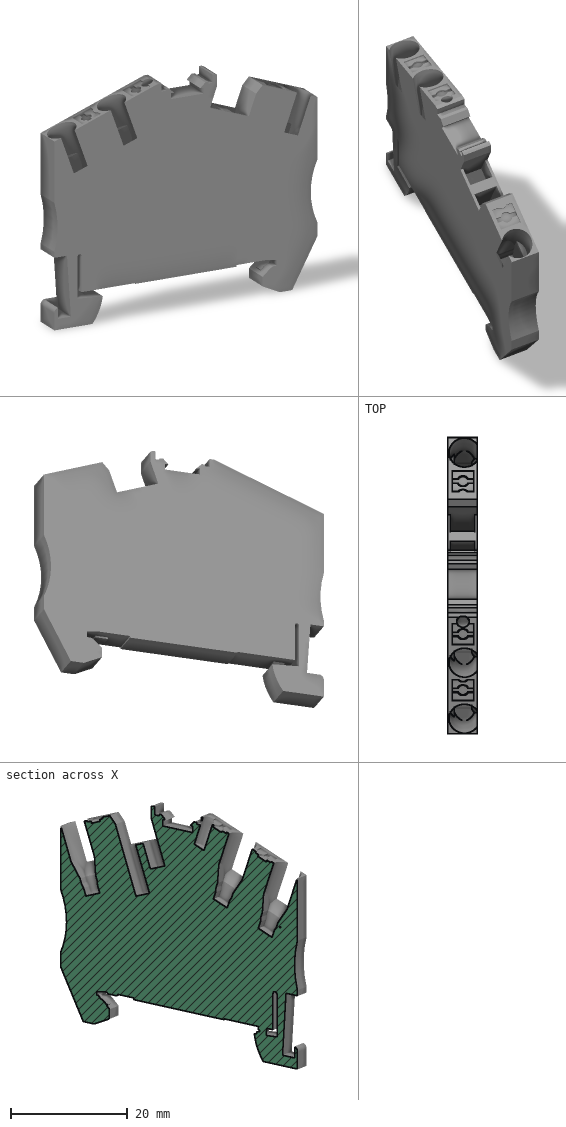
import cadquery as cq
import math

width = 5.15
length = 50.8
height = 41.5
end_y = length / 2

roof_angle = 20.0
roof_rise = math.tan(math.radians(roof_angle))
shoulder_z = 34.25

groove_y = 0.25
groove_half = 4.95
groove_ledge_z = 40.05
groove_floor_z = 38.35
groove_floor_half = 3.15
lip_half = 4.05
lip_top_half = 3.5
lip_tip_half = 2.55
lip_top_z = 40.35
lip_under_z = 39.4
finger_outer_y = 6.05
finger_bend_z = 39.4
finger_bevel_y = 5.65
finger_bevel_z = 41.35

notch_peak_y = 14.85
notch_chamfer_y = 13.55
notch_bottom_y = 12.15
notch_bottom_z = 32.8
notch_inner_y = 4.65
notch_pocket_width = 4.15
deep_pocket_end = 3.0
deep_pocket_depth = 8.65
shallow_pocket_start = 4.8
shallow_pocket_depth = 4.55

front_recess_top_z = 23.1
front_recess_middle = (-24.8, 18.7)
front_recess_bottom_z = 14.2
back_recess_top_z = 22.9
back_recess_middle = (24.15, 17.2)
back_recess_bottom_z = 11.55

base_z = 6.1
base_step_up = 0.15
base_step_y = 9.75
foot_slot_y = -20.15
foot_slot_width = 0.75
foot_slot_top = 13.0
arm_top_z = 13.15
arm_top_y = -22.95
arm_bottom_y = -22.35
foot_ledge_z = 4.0
foot_round_radius = 0.9
foot_round_length = 0.65
foot_round_height = 0.85
foot_pry_wall = 0.5
foot_pry_depth = 2.05
foot_tip_y = -16.05
foot_tip_z = 4.7
foot_heel_z = 5.05
foot_nose_middle = (-16.85, 1.95)
foot_sole_y = -18.05
hook_root_y = 17.6
hook_root_z = 4.95
hook_throat = [(16.75, 4.9), (16.25, 4.55)]
hook_tip_y = 14.85
hook_tip_top_z = 3.3
hook_tip_bottom_z = 1.6
hook_sole_start_y = 18.15
hook_sole_end_y = 20.5
hook_back_z = 9.0
base_hollow_y = 15.35

contact_width = 1.5
contact_root_z = base_z + 1

feature_x = 0.075
terminal_width = 3.7
terminal_height = 3.75
terminal_depth = 0.25
band_height = 0.8
band_down = 0.1
band_circle_diameter = 1.9
band_depth = 0.6
boss_radius = 1.05
boss_up = 2.6
test_hole_radius = 1.05
test_hole_up = 2.25
test_hole_depth = 5.6
lower_terminal_y = 17.95
station_pitch = 9.6
wire_hole_down = 5.2
wire_hole_radius = 2.65
wire_hole_x = 0.33
wire_hole_depth = 6.3
funnel_depth = 9.6
clamp_width = 3.05
clamp_height = 3.45
clamp_depth = 10.5
throat_height = 3.05
throat_start_depth = 11.35
throat_depth = 12.7
cutter_overshoot = 1.5


def prism(outline, thickness):
    """Extrude a closed YZ wire symmetrically about X = 0."""
    return outline.close().extrude(thickness / 2, both=True)


def groove_side(side):
    """Points of one groove flank from the outer edge down to the floor (side is +1 or -1)."""
    flank = [
        (groove_half, height),
        (groove_half, groove_ledge_z),
        (lip_half, groove_ledge_z),
        (lip_half, lip_top_z),
        (lip_top_half, lip_top_z),
        (lip_tip_half, lip_under_z),
        (groove_floor_half, lip_under_z),
        (groove_floor_half, groove_floor_z),
    ]
    return [(groove_y + side * half, z) for half, z in flank]


def housing():
    """Side outline of the plastic body, extruded across the full width."""
    notch_peak_z = shoulder_z + (end_y - notch_peak_y) * roof_rise
    notch_chamfer_z = notch_bottom_z + (notch_chamfer_y - notch_bottom_y) / roof_rise
    notch_inner_z = notch_bottom_z + (notch_bottom_y - notch_inner_y) * roof_rise
    ridge_y = -end_y + (height - shoulder_z) / roof_rise
    slot_radius = foot_slot_width / 2
    slot_far_y = foot_slot_y - foot_slot_width
    outline = (
        cq.Workplane("YZ")
        .moveTo(end_y, shoulder_z)
        .lineTo(notch_peak_y, notch_peak_z)
        .lineTo(notch_chamfer_y, notch_chamfer_z)
        .lineTo(notch_bottom_y, notch_bottom_z)
        .lineTo(notch_inner_y, notch_inner_z)
        .lineTo(finger_outer_y, finger_bend_z)
        .lineTo(finger_outer_y, finger_bevel_z)
        .lineTo(finger_bevel_y, height)
    )
    for y, z in groove_side(1) + groove_side(-1)[::-1]:
        outline = outline.lineTo(y, z)
    outline = (
        outline.lineTo(ridge_y, height)
        .lineTo(-end_y, shoulder_z)
        .lineTo(-end_y, front_recess_top_z)
        .threePointArc(front_recess_middle, (-end_y, front_recess_bottom_z))
        .lineTo(-end_y, arm_top_z)
        .lineTo(arm_top_y, arm_top_z)
        .lineTo(arm_bottom_y, foot_ledge_z)
        .lineTo(-end_y + foot_round_length, foot_ledge_z)
        .radiusArc((-end_y, foot_ledge_z - foot_round_height), -foot_round_radius)
        .lineTo(-end_y, 0)
        .lineTo(foot_sole_y, 0)
        .threePointArc(foot_nose_middle, (foot_tip_y, foot_tip_z))
        .lineTo(slot_far_y, foot_heel_z)
        .lineTo(slot_far_y, foot_slot_top - slot_radius)
        .threePointArc(
            (foot_slot_y - slot_radius, foot_slot_top),
            (foot_slot_y, foot_slot_top - slot_radius),
        )
        .lineTo(foot_slot_y, base_z)
        .lineTo(-base_step_y, base_z)
        .lineTo(-base_step_y, base_z - base_step_up)
        .lineTo(base_step_y, base_z - base_step_up)
        .lineTo(base_step_y, base_z + base_step_up)
        .lineTo(base_hollow_y, base_z + base_step_up)
        .lineTo(hook_root_y, base_z - base_step_up)
        .lineTo(hook_root_y, hook_root_z)
        .lineTo(*hook_throat[0])
        .lineTo(*hook_throat[1])
        .lineTo(hook_tip_y, hook_tip_top_z)
        .lineTo(hook_tip_y, hook_tip_bottom_z)
        .lineTo(hook_sole_start_y, 0)
        .lineTo(hook_sole_end_y, 0)
        .lineTo(end_y, hook_back_z)
        .lineTo(end_y, back_recess_bottom_z)
        .threePointArc(back_recess_middle, (end_y, back_recess_top_z))
    )
    return prism(outline, width)


def foot_pry_slot():
    """Screwdriver slot in the foot ledge, open on the +X side; one wall continues the arm face."""
    arm_lean = (arm_bottom_y - arm_top_y) / (arm_top_z - foot_ledge_z)
    far_y = -end_y + foot_round_length
    bottom_z = foot_ledge_z - foot_pry_depth
    profile = (
        cq.Workplane("YZ", origin=(-width / 2 + foot_pry_wall, 0, 0))
        .moveTo(arm_bottom_y, foot_ledge_z)
        .lineTo(arm_bottom_y + arm_lean * foot_pry_depth, bottom_z)
        .lineTo(far_y, bottom_z)
        .lineTo(far_y, foot_ledge_z)
    )
    return profile.close().extrude(width)


def contact():
    """Parts of the metal contact that reach out of the housing underside."""
    strip = [(15.45, contact_root_z), (15.45, 5.95), (13.15, 5.95), (12.95, contact_root_z)]
    leg = [
        (-16.9, contact_root_z), (-16.9, 5.65), (-17.25, 5.35), (-16.6, 5.15),
        (-16.6, 4.55), (-18.7, 4.55), (-18.7, 5.5), (-18.85, 5.8), (-18.85, contact_root_z),
    ]
    claw = [
        (18.1, 5.4), (17.25, 5.4), (16.8, 4.95), (15.9, 4.45),
        (15.6, 4.1), (15.25, 4.05), (15.45, 3.7), (18.1, 3.7),
    ]
    pieces = cq.Workplane("YZ")
    for points in (strip, leg, claw):
        pieces = pieces.add(prism(cq.Workplane("YZ").polyline(points), contact_width))
    return pieces




def roof_frame(plan_y):
    """Place roof coordinates on the front roof at the given Y."""
    tilt = math.radians(roof_angle)
    origin = (0, plan_y, shoulder_z + (plan_y + end_y) * roof_rise)
    return cq.Location(cq.Plane(origin, (1, 0, 0), (0, -math.sin(tilt), math.cos(tilt))))


def terminal_recess(with_boss):
    """Shallow window with a deeper band and circle across it; a boss may bite into its upper edge."""
    plate = (
        cq.Workplane("XY")
        .center(feature_x, 0)
        .rect(terminal_width, terminal_height)
        .extrude(-terminal_depth)
    )
    if with_boss:
        boss = cq.Workplane("XY").center(feature_x, boss_up).circle(boss_radius).extrude(-terminal_depth)
        plate = plate.cut(boss)
    band = (
        cq.Workplane("XY")
        .center(feature_x, -band_down)
        .rect(terminal_width, band_height)
        .extrude(-band_depth)
    )
    circle = (
        cq.Workplane("XY")
        .center(feature_x, -band_down)
        .circle(band_circle_diameter / 2)
        .extrude(-band_depth)
    )
    return plate.union(band).union(circle)


def taper(top_depth, top_size, top_x, bottom_depth, bottom_size):
    """Rectangular well narrowing from one depth to another; the bottom sits on the feature line."""
    return (
        cq.Workplane("XY", origin=(top_x, 0, -top_depth))
        .rect(*top_size)
        .workplane(offset=top_depth - bottom_depth, origin=(feature_x, 0, -top_depth))
        .rect(*bottom_size)
        .loft(ruled=True)
    )


def wire_entry():
    """Round hole that narrows through flat-sided tapers into a rectangular clamp chamber."""
    bore_diameter = 2 * wire_hole_radius
    mouth_left = feature_x - clamp_width / 2
    mouth_width = wire_hole_x + wire_hole_radius - mouth_left
    mouth_x = mouth_left + mouth_width / 2
    bore = (
        cq.Workplane("XY")
        .workplane(offset=-wire_hole_depth)
        .center(wire_hole_x, 0)
        .circle(wire_hole_radius)
        .extrude(wire_hole_depth + cutter_overshoot)
    )
    round_limit = (
        cq.Workplane("XY")
        .workplane(offset=-funnel_depth)
        .center(wire_hole_x, 0)
        .circle(wire_hole_radius)
        .extrude(funnel_depth)
    )
    clamp_size = (clamp_width, clamp_height)
    throat_size = (clamp_width, throat_height)
    funnel = taper(wire_hole_depth, (mouth_width, bore_diameter), mouth_x, funnel_depth, clamp_size)
    clamp = taper(funnel_depth, clamp_size, feature_x, clamp_depth, clamp_size)
    throat_taper = taper(clamp_depth, clamp_size, feature_x, throat_start_depth, throat_size)
    throat = taper(throat_start_depth, throat_size, feature_x, throat_depth, throat_size)
    return bore.union(funnel.intersect(round_limit)).union(clamp).union(throat_taper).union(throat)


def test_hole():
    """Small blind hole above the upper terminal window."""
    return (
        cq.Workplane("XY")
        .workplane(offset=-test_hole_depth)
        .center(feature_x, test_hole_up)
        .circle(test_hole_radius)
        .extrude(test_hole_depth + cutter_overshoot)
    )


def station(plan_y, with_test_hole):
    """Terminal window with its wire entry; the upper station has a test hole instead of a boss."""
    cutter = terminal_recess(not with_test_hole).union(wire_entry().translate((0, -wire_hole_down, 0)))
    if with_test_hole:
        cutter = cutter.union(test_hole())
    return cq.Workplane("XY").add(cutter.val().moved(roof_frame(plan_y)))


def notch_pocket(start, end, depth):
    """Pocket square to the notch floor, measured up the floor from the notch corner."""
    pocket = (
        cq.Workplane("YZ")
        .moveTo(-start, 0)
        .lineTo(-end, 0)
        .lineTo(-end, -depth)
        .lineTo(-start, -depth)
    )
    return (
        prism(pocket, notch_pocket_width)
        .rotate((0, 0, 0), (1, 0, 0), -roof_angle)
        .translate((0, notch_bottom_y, notch_bottom_z))
    )


notch_floor_length = (notch_bottom_y - notch_inner_y) / math.cos(math.radians(roof_angle))
lower_station = station(-lower_terminal_y, False)

result = (
    housing()
    .union(contact())
    .cut(foot_pry_slot())
    .cut(notch_pocket(0, deep_pocket_end, deep_pocket_depth))
    .cut(notch_pocket(shallow_pocket_start, notch_floor_length, shallow_pocket_depth))
    .cut(lower_station)
    .cut(lower_station.mirror("XZ"))
    .cut(station(station_pitch - lower_terminal_y, True))
)